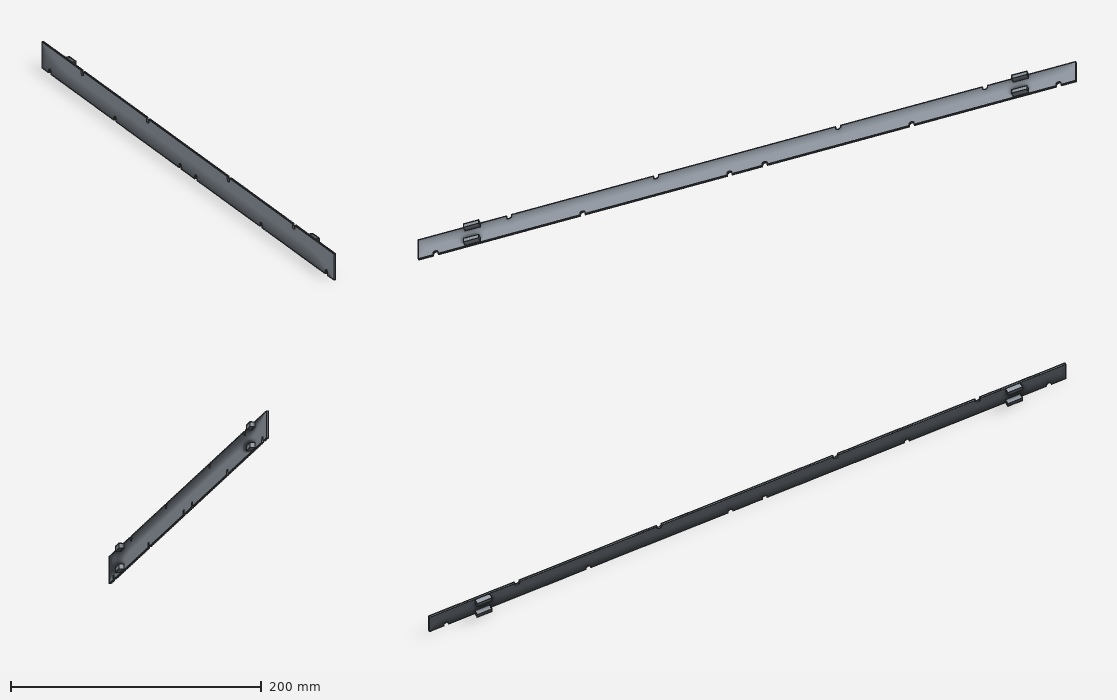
import cadquery as cq

length = 559.5
height = 22.0
thickness = 1.5

notch_width = 4.3
notch_depth = 3.75
notch_pitch = 125.0
first_bottom_notch = 14.75
bottom_notch_count = 3
top_notch_count = 2

overall_depth = 5.75
pad_start = 40.0
pad_length = 13.0
pad_height = 4.0
pad_inset = 0.5

first_top_notch = first_bottom_notch + notch_pitch / 2
pad_center = pad_start + pad_length / 2


def mirrored_pair(x):
    """Return x and its mirror image about the middle of the strip."""
    return [x, length - x]


def block(x_center, x_size, y_max, z_min, z_size):
    """Box centred on x_center, from the front face back to y_max, rising from z_min."""
    return (
        cq.Workplane("XY")
        .box(x_size, y_max, z_size, centered=(True, False, False))
        .translate((x_center, 0, z_min))
    )


def notch(x, edge_z, inward):
    """Round-ended notch reaching in from the long edge at edge_z; inward is +1 (up) or -1 (down)."""
    radius = notch_width / 2
    shoulder_z = edge_z + inward * (notch_depth - radius)
    tip_z = edge_z + inward * notch_depth
    return (
        cq.Workplane("XZ")
        .moveTo(x - radius, edge_z)
        .lineTo(x - radius, shoulder_z)
        .threePointArc((x, tip_z), (x + radius, shoulder_z))
        .lineTo(x + radius, edge_z)
        .close()
        .extrude(-thickness)
    )


def cut_notches(body, first_x, count, edge_z, inward):
    """Cut a row of notches into each half of one long edge."""
    for index in range(count):
        for x in mirrored_pair(first_x + index * notch_pitch):
            body = body.cut(notch(x, edge_z, inward))
    return body


def add_pads(body):
    """Add a lower and an upper pad on the back face near each end."""
    for x in mirrored_pair(pad_center):
        for z_min in (pad_inset, height - pad_inset - pad_height):
            body = body.union(block(x, pad_length, overall_depth, z_min, pad_height))
    return body


strip = block(length / 2, length, thickness, 0, height)
strip = cut_notches(strip, first_bottom_notch, bottom_notch_count, 0, 1)
strip = cut_notches(strip, first_top_notch, top_notch_count, height, -1)
result = add_pads(strip)